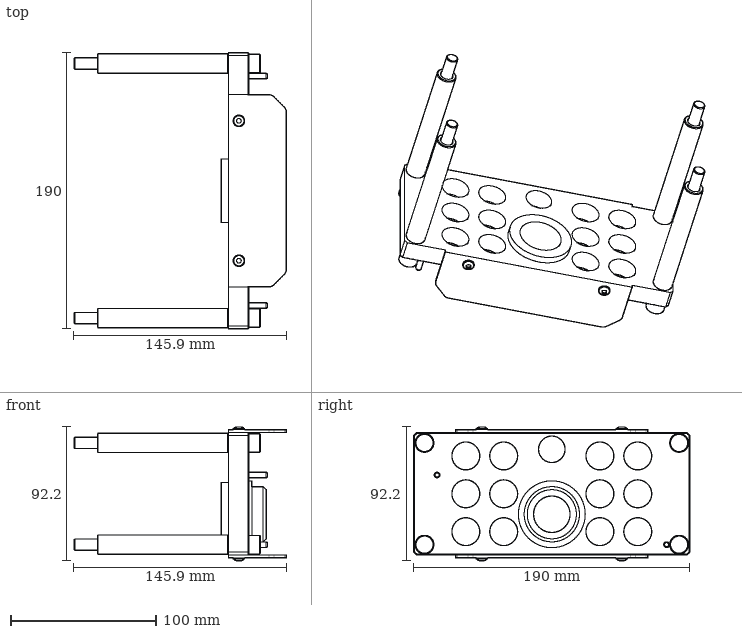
import cadquery as cq

plate_thickness = 14.0
plate_length = 190.0
plate_height = 84.0
plate_corner_chamfer = 1.9
plate_rear_chamfer = 0.5

sheet_depth = 39.9
sheet_length = 132.2
sheet_thickness = 2.0
sheet_corner_chamfer = 10.0
sheet_corner_radius = 5.0

screw_spacing = 96.1
screw_x = 7.2
screw_head_diameter = 8.0
screw_dome_diameter = 7.0
screw_shoulder_height = 0.8
screw_socket_diameter = 3.2
screw_socket_depth = 1.1
dome_bulge = 0.6
assembly_height = 92.2
screw_head_height = (assembly_height - plate_height) / 2 - sheet_thickness

bolt_spacing_y = 175.0
bolt_spacing_z = 70.0
bolt_diameter = 8.0
bolt_reach = 106.0
bolt_tip_chamfer = 0.5
bolt_head_diameter = 13.0
bolt_head_length = 8.0
bolt_head_chamfer = 0.5
tube_diameter = 13.5
tube_bore_diameter = 9.0
tube_length = 90.0
tube_chamfer = 0.5

dowel_diameter = 4.0
dowel_reach = 13.0
dowel_chamfer_length = 1.1
dowel_chamfer_width = 0.5
dowel_y = 78.8
upper_dowel_z = 13.0
lower_dowel_z = -bolt_spacing_z / 2

hole_diameter = 19.0
hole_pitch = 26.0
inner_column_y = 33.0
outer_column_y = inner_column_y + hole_pitch
middle_hole_diameter = 18.0
middle_hole_z = 30.5

bushing_z = -14.0
front_flange_diameter = 43.9
front_flange_reach = 5.0
rear_flange_diameter = 46.0
rear_flange_reach = 2.0
barrel_diameter = 38.0
barrel_reach = 12.0
barrel_chamfer = 2.0
bore_diameter = 29.0
bore_mouth_diameter = 24.9


def disc_along_x(diameter, x_start, x_end, y, z):
    """Cylinder parallel to X between two X positions."""
    length = x_end - x_start
    return cq.Workplane("YZ", origin=(x_start, y, z)).circle(diameter / 2).extrude(length)


def make_plate():
    plate = cq.Workplane("XY").box(plate_thickness, plate_length, plate_height, centered=(False, True, True))
    plate = plate.edges("|X").chamfer(plate_corner_chamfer)
    return plate.faces(">X").edges().chamfer(plate_rear_chamfer)


def make_sheet():
    """Upper cover sheet, flush with the plate front and cut back at its rear corners."""
    half_length = sheet_length / 2
    straight_depth = sheet_depth - sheet_corner_chamfer
    rear_half_length = half_length - sheet_corner_chamfer
    outline = [
        (0, -half_length),
        (straight_depth, -half_length),
        (sheet_depth, -rear_half_length),
        (sheet_depth, rear_half_length),
        (straight_depth, half_length),
        (0, half_length),
    ]
    base = cq.Workplane("XY", origin=(0, 0, plate_height / 2))
    sheet = base.polyline(outline).close().extrude(sheet_thickness)
    rear_corners = sheet.edges("|Z").edges("not <X")
    return rear_corners.fillet(sheet_corner_radius)


def make_screw_head(y):
    """Domed screw head with a round socket, standing on the upper sheet."""
    head_radius = screw_head_diameter / 2
    dome_radius = screw_dome_diameter / 2
    socket_radius = screw_socket_diameter / 2
    socket_floor = screw_head_height - screw_socket_depth
    dome_height = screw_head_height - screw_shoulder_height
    dome_middle = (
        socket_radius + dome_bulge * (dome_radius - socket_radius),
        screw_shoulder_height + dome_bulge * dome_height,
    )
    profile = (
        cq.Workplane("XZ")
        .lineTo(head_radius, 0)
        .lineTo(head_radius, screw_shoulder_height)
        .lineTo(dome_radius, screw_shoulder_height)
        .threePointArc(dome_middle, (socket_radius, screw_head_height))
        .lineTo(socket_radius, socket_floor)
        .lineTo(0, socket_floor)
        .close()
    )
    head = profile.revolve(360, (0, 0, 0), (0, 1, 0))
    return head.translate((screw_x, y, plate_height / 2 + sheet_thickness))


def make_bolt(y, z):
    """Bolt with its head behind the plate and its spacer tube around the shank."""
    head_end = plate_thickness + bolt_head_length
    shank = disc_along_x(bolt_diameter, -bolt_reach, head_end, y, z).faces("<X").chamfer(bolt_tip_chamfer)
    head = disc_along_x(bolt_head_diameter, plate_thickness, head_end, y, z)
    return shank.union(head.faces(">X").chamfer(bolt_head_chamfer))


def make_tube(y, z):
    tube = disc_along_x(tube_diameter, -tube_length, 0, y, z).faces("<X or >X").chamfer(tube_chamfer)
    return tube.cut(disc_along_x(tube_bore_diameter, -tube_length, 0, y, z))


def make_dowel(y, z):
    dowel = disc_along_x(dowel_diameter, 0, plate_thickness + dowel_reach, y, z)
    return dowel.faces(">X").chamfer(dowel_chamfer_length, dowel_chamfer_width)


def make_bushing():
    rear = plate_thickness
    front_flange = disc_along_x(front_flange_diameter, -front_flange_reach, rear, 0, bushing_z)
    rear_flange = disc_along_x(rear_flange_diameter, 0, rear + rear_flange_reach, 0, bushing_z)
    barrel = disc_along_x(barrel_diameter, 0, rear + barrel_reach, 0, bushing_z)
    return front_flange.union(rear_flange).union(barrel.faces(">X").chamfer(barrel_chamfer))


def make_bore():
    """Straight bore that narrows at 45 degrees to a smaller mouth at the rear end."""
    bore_end = plate_thickness + barrel_reach
    bore = disc_along_x(bore_diameter, -front_flange_reach, bore_end, 0, bushing_z)
    return bore.faces(">X").chamfer((bore_diameter - bore_mouth_diameter) / 2)


def make_holes():
    columns = (-outer_column_y, -inner_column_y, inner_column_y, outer_column_y)
    rows = (-hole_pitch, 0, hole_pitch)
    holes = disc_along_x(middle_hole_diameter, 0, plate_thickness, 0, middle_hole_z)
    for y in columns:
        for z in rows:
            holes = holes.union(disc_along_x(hole_diameter, 0, plate_thickness, y, z))
    return holes


result = make_plate().cut(make_holes())

upper_cover = make_sheet()
for screw_y in (-screw_spacing / 2, screw_spacing / 2):
    upper_cover = upper_cover.union(make_screw_head(screw_y))
result = result.union(upper_cover).union(upper_cover.mirror("XY"))

for bolt_y in (-bolt_spacing_y / 2, bolt_spacing_y / 2):
    for bolt_z in (-bolt_spacing_z / 2, bolt_spacing_z / 2):
        result = result.union(make_tube(bolt_y, bolt_z)).union(make_bolt(bolt_y, bolt_z))

result = result.union(make_dowel(-dowel_y, upper_dowel_z)).union(make_dowel(dowel_y, lower_dowel_z))
result = result.union(make_bushing()).cut(make_bore())